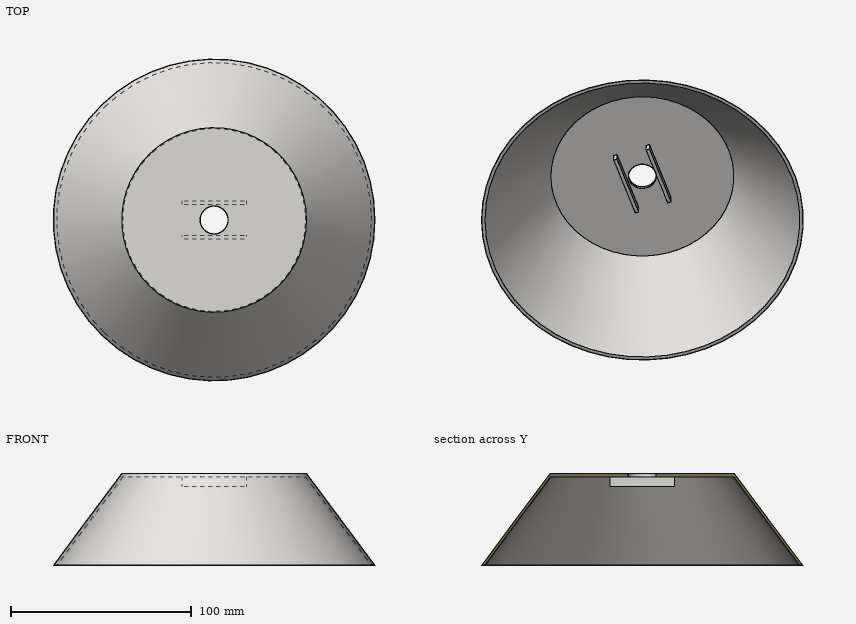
import cadquery as cq

base_diameter = 177.8
top_diameter = 102.0
height = 50.9
wall_thickness = 2.0
hole_diameter = 15.3

rib_length = 35.5
rib_drop = 5.2
rib_thickness = wall_thickness
rib_clearance = 0.9

base_radius = base_diameter / 2
top_radius = top_diameter / 2
hole_radius = hole_diameter / 2
ceiling_height = height - wall_thickness

slope = (base_radius - top_radius) / height
inner_base_radius = base_radius - wall_thickness
inner_top_radius = inner_base_radius - slope * ceiling_height

half_section = (
    cq.Workplane("XZ")
    .moveTo(base_radius, 0)
    .lineTo(top_radius, height)
    .lineTo(hole_radius, height)
    .lineTo(hole_radius, ceiling_height)
    .lineTo(inner_top_radius, ceiling_height)
    .lineTo(inner_base_radius, 0)
    .close()
)

shade = half_section.revolve(360, (0, 0, 0), (0, 1, 0))

rib_offset = hole_radius + rib_clearance + rib_thickness / 2
rib_height = rib_drop + wall_thickness
ribs = (
    cq.Workplane("XY", origin=(0, 0, height - rib_height))
    .pushPoints([(0, rib_offset), (0, -rib_offset)])
    .rect(rib_length, rib_thickness)
    .extrude(rib_height)
)

result = shade.union(ribs)